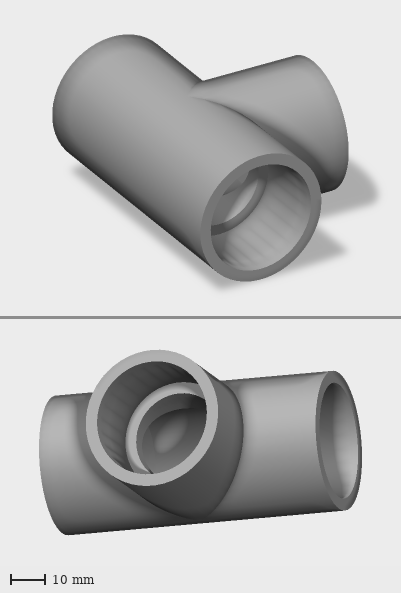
import cadquery as cq

run_length = 85.0
outer_diameter = 40.7
bore_diameter = 26.6
socket_mouth_diameter = 33.7
socket_root_diameter = 33.2
socket_depth = 24.05
branch_length = run_length / 2

half_run = run_length / 2
outer_radius = outer_diameter / 2

ends = [
    (cq.Vector(-1, 0, 0), half_run),
    (cq.Vector(1, 0, 0), half_run),
    (cq.Vector(0, 1, 0), branch_length),
]


def pipe(radius, direction, length):
    """Solid cylinder from the tee centre out to one end."""
    return cq.Workplane(cq.Solid.makeCylinder(radius, length, cq.Vector(0, 0, 0), direction))


def socket(direction, length):
    """Tapered socket cavity, widest at the end face."""
    return cq.Workplane(
        cq.Solid.makeCone(
            socket_mouth_diameter / 2,
            socket_root_diameter / 2,
            socket_depth,
            direction * length,
            direction * -1,
        )
    )


def run_cylinder(diameter):
    """Cylinder along the full run."""
    return cq.Workplane("YZ").circle(diameter / 2).extrude(half_run, both=True)


body = run_cylinder(outer_diameter).union(pipe(outer_radius, cq.Vector(0, 1, 0), branch_length))
waterway = run_cylinder(bore_diameter).union(
    pipe(bore_diameter / 2, cq.Vector(0, 1, 0), branch_length)
)

result = body.cut(waterway)
for end_direction, end_distance in ends:
    result = result.cut(socket(end_direction, end_distance))